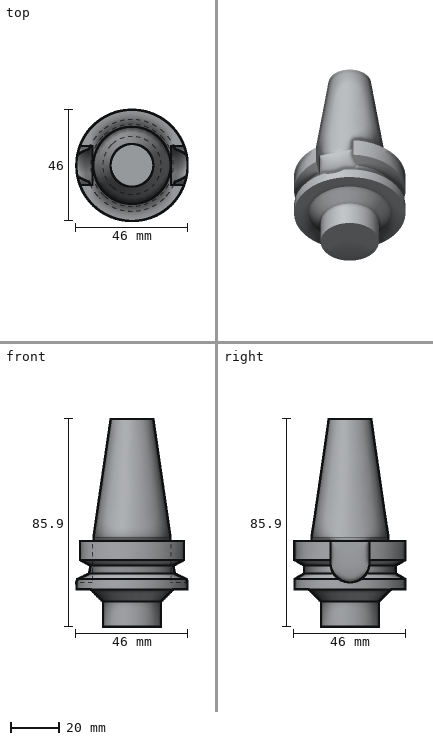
import cadquery as cq
import math

total_height = 85.9
taper_length = 48.4
gauge_to_flange = 2.0
taper_overrun = 0.5
flange_thickness = 20.0
nose_cone_height = 5.0

gauge_diameter = 31.75
taper_rate = 7 / 24
flange_diameter = 46.0
groove_diameter = 38.0
nose_diameter = 24.0

groove_centre_depth = 11.8
groove_floor_width = 3.4
groove_flank_angle = 30.0

slot_width = 16.1
slot_depth = 17.1
slot_floor_x = 16.2

taper_top_radius = (gauge_diameter - taper_length * taper_rate) / 2
taper_base_radius = (gauge_diameter + taper_overrun * taper_rate) / 2
flange_radius = flange_diameter / 2
groove_radius = groove_diameter / 2
nose_radius = nose_diameter / 2
nose_cone_radius = nose_radius + nose_cone_height

gauge_z = total_height - taper_length
taper_base_z = gauge_z - taper_overrun
flange_top_z = gauge_z - gauge_to_flange
flange_bottom_z = flange_top_z - flange_thickness
nose_top_z = flange_bottom_z - nose_cone_height

groove_centre_z = flange_top_z - groove_centre_depth
groove_half_floor = groove_floor_width / 2
groove_flank_height = (flange_radius - groove_radius) * math.tan(math.radians(groove_flank_angle))
groove_half_mouth = groove_half_floor + groove_flank_height


def revolved_body():
    """Taper shank, grooved flange and nose, turned about Z."""
    half_profile = [
        (0, 0),
        (nose_radius, 0),
        (nose_radius, nose_top_z),
        (nose_cone_radius, flange_bottom_z),
        (flange_radius, flange_bottom_z),
        (flange_radius, groove_centre_z - groove_half_mouth),
        (groove_radius, groove_centre_z - groove_half_floor),
        (groove_radius, groove_centre_z + groove_half_floor),
        (flange_radius, groove_centre_z + groove_half_mouth),
        (flange_radius, flange_top_z),
        (taper_base_radius, flange_top_z),
        (taper_base_radius, taper_base_z),
        (taper_top_radius, total_height),
        (0, total_height),
    ]
    return cq.Workplane("XZ").polyline(half_profile).close().revolve(360, (0, 0), (0, 1))


def drive_slot(side):
    """Round-bottomed slot cutter on the +X (side = 1) or -X (side = -1) face."""
    half_width = slot_width / 2
    bottom_z = flange_top_z - slot_depth
    arc_centre_z = bottom_z + half_width
    return (
        cq.Workplane("YZ", origin=(side * slot_floor_x, 0, 0))
        .moveTo(-half_width, flange_top_z)
        .lineTo(-half_width, arc_centre_z)
        .threePointArc((0, bottom_z), (half_width, arc_centre_z))
        .lineTo(half_width, flange_top_z)
        .close()
        .extrude(side * flange_radius)
    )


result = revolved_body()
for slot_side in (-1, 1):
    result = result.cut(drive_slot(slot_side))